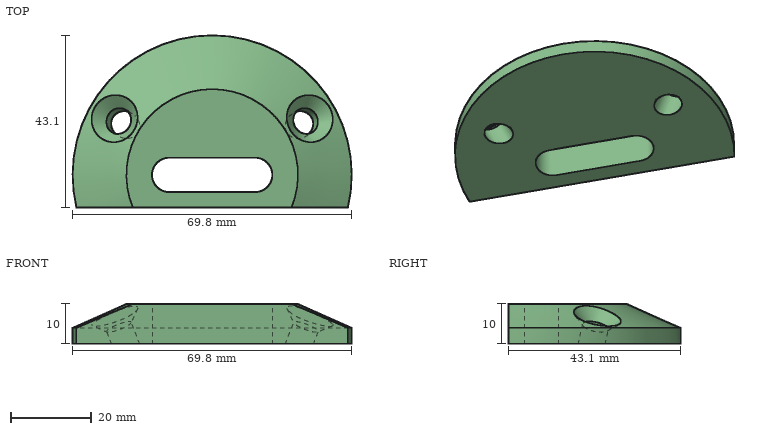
import cadquery as cq
import math

disk_radius = 34.9
top_radius = 21.45
height = 10.0
rim_height = 4.0
flat_offset = 8.2

slot_length = 30.05
slot_width = 8.5

hole_diameter = 6.6
sink_diameter = 12.4
sink_angle = 90.0
hole_directions = (30.0, 150.0)

bevel_run = disk_radius - top_radius
bevel_rise = height - rim_height
bevel_angle = math.degrees(math.atan2(bevel_rise, bevel_run))


def make_body():
    """Revolve the bevelled profile and remove everything beyond the flat."""
    disk = (
        cq.Workplane("XZ")
        .polyline([
            (0, 0),
            (disk_radius, 0),
            (disk_radius, rim_height),
            (top_radius, height),
            (0, height),
        ])
        .close()
        .revolve(360, (0, 0), (0, 1))
    )
    keep_depth = disk_radius + flat_offset
    keep = cq.Workplane("XY").box(2 * disk_radius, keep_depth, height, centered=(True, False, False))
    return disk.intersect(keep.translate((0, -flat_offset, 0)))


def make_screw_cutter(direction):
    """Countersunk drill entering halfway up the bevel in the given direction."""
    hole_radius = hole_diameter / 2
    sink_radius = sink_diameter / 2
    sink_depth = (sink_radius - hole_radius) / math.tan(math.radians(sink_angle / 2))
    drill_length = 2 * height
    clearance = 1.4
    mouth_radius = sink_radius + clearance * math.tan(math.radians(sink_angle / 2))
    cutter = (
        cq.Workplane("XZ")
        .polyline([
            (0, -drill_length),
            (hole_radius, -drill_length),
            (hole_radius, -sink_depth),
            (mouth_radius, clearance),
            (0, clearance),
        ])
        .close()
        .revolve(360, (0, 0), (0, 1))
    )
    entry = ((disk_radius + top_radius) / 2, 0, (rim_height + height) / 2)
    return (
        cutter.rotate((0, 0, 0), (0, 1, 0), bevel_angle)
        .translate(entry)
        .rotate((0, 0, 0), (0, 0, 1), direction)
    )


slot = cq.Workplane("XY").slot2D(slot_length, slot_width).extrude(height)

result = make_body().cut(slot)
for hole_direction in hole_directions:
    result = result.cut(make_screw_cutter(hole_direction))